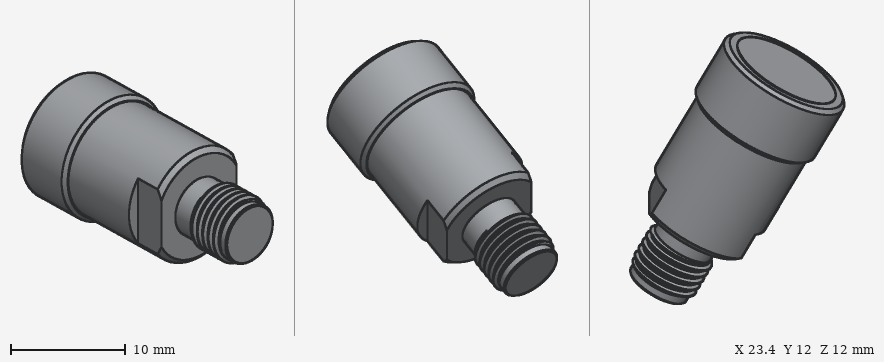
import cadquery as cq
import math

total_length = 23.43
face_step = 0.07
collar_end = 6.0
flats_start = 13.82
body_end = 16.85
thread_start = 18.81
thread_end = 22.65

face_radius = 4.9
collar_radius = 6.0
body_radius = 5.53
neck_radius = 2.8
thread_radius = 3.16

collar_chamfer = 0.37
body_chamfer = 0.5
tip_chamfer = 0.12

flat_offset = 4.45

pitch = 0.7
crest_width = 0.12
root_overlap = 0.05
crest_clearance = 0.23
helix_start = 18.13
helix_turns = 7
flank_angle = math.radians(30)


def cylinder(start, end, radius):
    """Solid cylinder on the X axis between two stations."""
    return cq.Workplane("YZ").workplane(offset=start).circle(radius).extrude(end - start)


def make_body():
    """Chamfered collar and barrel with a slightly raised front face."""
    face = cylinder(0, face_step, face_radius)
    collar = cylinder(face_step, collar_end, collar_radius).edges().chamfer(collar_chamfer)
    barrel = cylinder(face_step, body_end, body_radius).faces(">X").edges().chamfer(body_chamfer)
    return face.union(collar).union(barrel)


def cut_flats(body):
    """Cut two opposite wrench flats at the rear of the barrel."""
    flat_length = body_end - flats_start
    flat_depth = body_radius - flat_offset
    for side in (1, -1):
        cutter = cq.Workplane("XY").box(flat_length, flat_depth, 2 * body_radius)
        cutter = cutter.translate(
            ((flats_start + body_end) / 2, side * (flat_offset + flat_depth / 2), 0)
        )
        body = body.cut(cutter)
    return body


def make_thread():
    """Helical ridge, trimmed to the threaded length with bevelled ends."""
    base_radius = neck_radius - root_overlap
    base_half = crest_width / 2 + (thread_radius - base_radius) * math.tan(flank_angle)
    helix = cq.Wire.makeHelix(pitch, pitch * helix_turns, base_radius)
    ridge = (
        cq.Workplane("XZ")
        .moveTo(base_radius, -base_half)
        .lineTo(thread_radius, -crest_width / 2)
        .lineTo(thread_radius, crest_width / 2)
        .lineTo(base_radius, base_half)
        .close()
        .sweep(cq.Workplane(helix), isFrenet=True)
        .rotate((0, 0, 0), (0, 1, 0), 90)
        .translate((helix_start, 0, 0))
    )
    envelope_radius = thread_radius + crest_clearance
    envelope = cylinder(thread_start, thread_end, envelope_radius)
    envelope = envelope.edges().chamfer(envelope_radius - neck_radius)
    return ridge.intersect(envelope)


neck = cylinder(body_end, total_length, neck_radius).faces(">X").edges().chamfer(tip_chamfer)
result = cut_flats(make_body()).union(neck).union(make_thread())